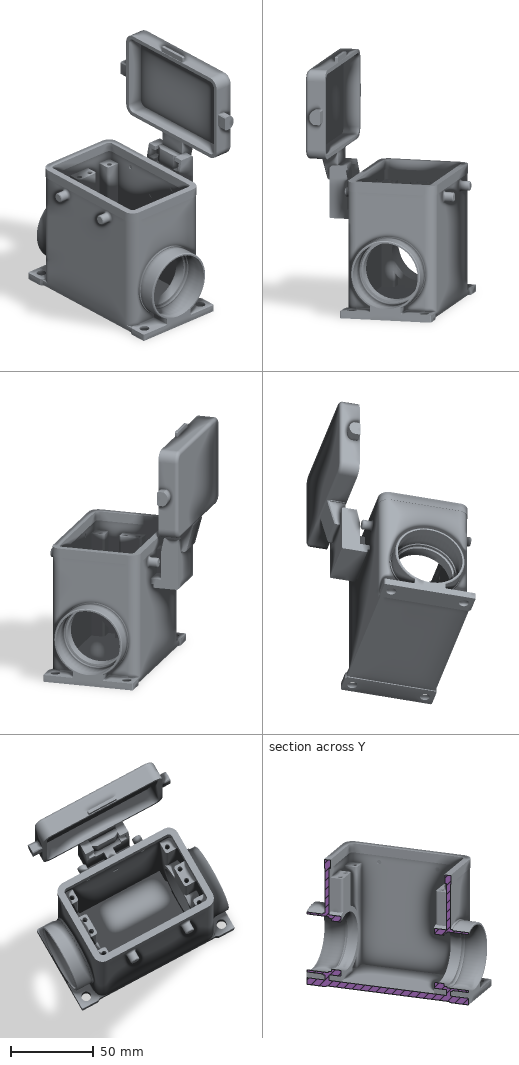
import cadquery as cq
import math

SIDES = (-1, 1)

body_length = 82.4
body_front_y = -27.7
body_back_y = 27.9
body_bottom_z = 0.6
body_top_z = 82.1
body_corner_radius = 6.1
collar_bottom_z = 76.3
collar_length = 82.7
collar_half_width = 28.0
cavity_length = 76.5
cavity_half_width = 24.8
rim_opening_length = 74.5
rim_opening_half_width = 23.9
cavity_corner_radius = 2.3
cavity_floor_z = 4.6

overall_length = 106.0
foot_width = 57.3
foot_height = 4.3
foot_inner_x = 42.0
foot_bevel_x = 40.3
base_height_z = 3.7
foot_hole_x = 47.0
foot_hole_y = 22.8
foot_hole_diameter = 6.0
foot_edge_chamfer = 0.5
foot_root_fillet = 0.6

entry_z = 27.4
entry_outer_radius = 21.7
entry_bore_radius = 18.2
socket_radius = 20.4
socket_floor_x = 38.9
seat_radius = 19.6
seat_floor_x = 37.0
entry_inner_x = 30.3
entry_lip_chamfer = 0.5
root_ring_radius = 22.4
root_ring_end_x = 42.4
pedestal_width = 19.3

post_top_z = 69.7
post_edge_fillet = 1.5
corner_post_inner_y = 16.5
middle_post_half_width = 7.2
screw_hole_x = 33.1
screw_hole_ys = (-20.0, -4.1, 4.1, 20.0)
screw_hole_diameter = 3.0
screw_hole_depth = 12.3

pin_x = 19.0
pin_z = 71.8
pin_radius = 2.9
pin_tip_y = 34.2
pin_root_fillet = 1.2
pin_tip_chamfer = 0.5
pin_dimple_diameter = 2.8
screw_dimple_diameter = 3.7
screw_dimple_z = 60.3
dimple_depth = 0.3

bracket_length = 29.7
bracket_back_y = 45.3
bracket_top_z = 86.0
bracket_bottom_z = 54.2
bracket_front_y = 34.3
bracket_top_front_y = 36.1
slope_bottom_z = 77.0
arm_top_z = 59.9
arm_step_y = 29.5
arm_step_z = 56.5
bracket_edge_chamfer = 0.5
slot_width = 18.0
slot_floor_z = 75.7
rib_width = 6.1
pocket_length = 26.0
pocket_bottom_z = 78.1
pocket_top_z = 83.6
pocket_back_y = 40.6

lid_length = 82.7
lid_bottom_z = 94.6
lid_top_z = 149.8
lid_front_y = 41.2
lid_back_y = 53.6
lid_corner_radius = 6.1
lid_back_fillet = 2.1
lid_wall = 2.5
lid_cavity_depth = 10.0
tab_length = 19.3
tab_front_y = 41.5
tab_thickness = 1.8
tab_top_z = 153.2
tab_corner_fillet = 0.6
lug_span = 95.5
lug_front_y = 42.4
lug_half_height = 4.5
lug_straight_y = 46.5
lug_tip_y = 49.3
lug_front_chamfer = 0.6
neck_front_y = 41.8
neck_root_back_y = 53.1
neck_tip_back_y = 48.4
neck_root_length = 19.3
neck_root_height = 0.6
neck_bottom_z = slope_bottom_z
neck_edge_chamfer = 0.6
knuckle_front_y = 36.8
knuckle_top_z = 85.5
knuckle_top_front_y = 37.4
knuckle_bevel_x = 3.0
knuckle_bevel_y = 1.5

lid_mid_z = (lid_bottom_z + lid_top_z) / 2


def block(x0, x1, y0, y1, z0, z1):
    """Box between two opposite corners."""
    return cq.Workplane("XY").box(x1 - x0, y1 - y0, z1 - z0, centered=False).translate((x0, y0, z0))


def slab(length, y0, y1, z0, z1):
    """Box centred on the YZ plane."""
    return block(-length / 2, length / 2, y0, y1, z0, z1)


def end_cylinder(side, x0, x1, radius):
    """Cylinder on the cable-entry axis, from x0 to x1 out from the middle at one end."""
    start = cq.Vector(side * x0, 0, entry_z)
    return cq.Workplane(cq.Solid.makeCylinder(radius, x1 - x0, start, cq.Vector(side, 0, 0)))


def wall_cylinder(x, y, z, radius, length, direction):
    """Cylinder along Y, starting at y and running toward +Y (1) or -Y (-1)."""
    return cq.Workplane(cq.Solid.makeCylinder(radius, length, cq.Vector(x, y, z), cq.Vector(0, direction, 0)))


def make_shell():
    walls = slab(body_length, body_front_y, body_back_y, body_bottom_z, collar_bottom_z)
    walls = walls.edges("|Z").fillet(body_corner_radius)
    collar = slab(collar_length, -collar_half_width, collar_half_width, collar_bottom_z, body_top_z)
    collar = collar.edges("|Z").fillet(body_corner_radius)
    return walls.union(collar)


def make_base():
    base = slab(2 * foot_inner_x, body_front_y, body_back_y, body_bottom_z, base_height_z)
    half_width = foot_width / 2
    for side in SIDES:
        outline = [
            (side * overall_length / 2, -half_width),
            (side * foot_inner_x, -half_width),
            (side * foot_bevel_x, body_front_y),
            (side * foot_bevel_x, -body_front_y),
            (side * foot_inner_x, half_width),
            (side * overall_length / 2, half_width),
        ]
        foot = cq.Workplane("XY").polyline(outline).close().extrude(foot_height)
        outer_face = ">X" if side > 0 else "<X"
        foot = foot.faces(outer_face).edges("|Z").chamfer(foot_edge_chamfer)
        base = base.union(foot)
    return base


def cove_profile(plane, corner, direction):
    """Concave fillet section filling the corner of a wall and a foot's top, opening along direction."""
    reach = direction * foot_root_fillet
    mid = 1 - math.sqrt(0.5)
    cove_top_z = foot_height + foot_root_fillet
    return (
        cq.Workplane(plane)
        .moveTo(corner - reach, foot_height - foot_root_fillet)
        .lineTo(corner + reach, foot_height - foot_root_fillet)
        .lineTo(corner + reach, foot_height)
        .threePointArc((corner + reach * mid, foot_height + foot_root_fillet * mid), (corner, cove_top_z))
        .lineTo(corner - reach, cove_top_z)
        .close()
    )


def make_foot_coves(side):
    """Fillets from a foot's top to the end wall and to both flanks of the pedestal."""
    flat_half_width = body_back_y - body_corner_radius
    coves = cove_profile("XZ", side * body_length / 2, side).extrude(flat_half_width, both=True)
    for flank in SIDES:
        cove = cove_profile("YZ", flank * pedestal_width / 2, flank)
        cove = cove.extrude(side * (overall_length - body_length) / 2)
        coves = coves.union(cove.translate((side * body_length / 2, 0, 0)))
    return coves


def make_entry(side):
    tube = end_cylinder(side, entry_inner_x, overall_length / 2, entry_outer_radius)
    tube = tube.faces(">X" if side > 0 else "<X").chamfer(entry_lip_chamfer)
    root_ring = end_cylinder(side, cavity_length / 2, root_ring_end_x, root_ring_radius)
    pedestal_ends = sorted((side * entry_inner_x, side * overall_length / 2))
    pedestal = block(*pedestal_ends, -pedestal_width / 2, pedestal_width / 2, base_height_z, entry_z)
    return tube.union(root_ring).union(pedestal)


def make_posts(side):
    inner_face = "<X" if side > 0 else ">X"
    x_range = sorted((side * entry_inner_x, side * body_length / 2))
    spans = (
        (body_front_y, -corner_post_inner_y),
        (-middle_post_half_width, middle_post_half_width),
        (corner_post_inner_y, body_back_y),
    )
    posts = cq.Workplane("XY")
    for y0, y1 in spans:
        post = block(*x_range, y0, y1, cavity_floor_z, post_top_z)
        posts = posts.union(post.faces(inner_face).edges("|Z").fillet(post_edge_fillet))
    return posts


def make_pin(x, direction):
    wall_y = abs(body_back_y if direction > 0 else body_front_y)
    tip_r = pin_radius - pin_tip_chamfer
    root_r = pin_radius + pin_root_fillet
    embed_y = wall_y - pin_root_fillet
    diagonal = pin_root_fillet * (1 - math.sqrt(0.5))
    profile = (
        cq.Workplane("XY")
        .moveTo(0, embed_y)
        .lineTo(root_r, embed_y)
        .lineTo(root_r, wall_y)
        .threePointArc((pin_radius + diagonal, wall_y + diagonal), (pin_radius, wall_y + pin_root_fillet))
        .lineTo(pin_radius, pin_tip_y - pin_tip_chamfer)
        .lineTo(tip_r, pin_tip_y)
        .lineTo(0, pin_tip_y)
        .close()
    )
    pin = profile.revolve(360, (0, 0, 0), (0, 1, 0))
    if direction < 0:
        pin = pin.mirror("XZ")
    return pin.translate((x, 0, pin_z))


def make_housing():
    housing = make_shell().union(make_base())
    for side in SIDES:
        housing = housing.union(make_entry(side)).union(make_foot_coves(side))

    cavity = slab(cavity_length, -cavity_half_width, cavity_half_width, cavity_floor_z, collar_bottom_z)
    cavity = cavity.edges("|Z").fillet(cavity_corner_radius)
    for side in SIDES:
        cavity = cavity.cut(make_entry(side)).cut(make_posts(side))
    opening_y = rim_opening_half_width
    opening = slab(rim_opening_length, -opening_y, opening_y, collar_bottom_z, body_top_z)
    housing = housing.cut(cavity).cut(opening.edges("|Z").fillet(cavity_corner_radius))

    for side in SIDES:
        bore = end_cylinder(side, 0, overall_length, entry_bore_radius)
        socket = end_cylinder(side, socket_floor_x, overall_length, socket_radius)
        seat = end_cylinder(side, seat_floor_x, overall_length, seat_radius)
        housing = housing.cut(bore).cut(seat).cut(socket)
        for end in SIDES:
            foot_hole = cq.Workplane("XY").circle(foot_hole_diameter / 2).extrude(foot_height)
            housing = housing.cut(foot_hole.translate((side * foot_hole_x, end * foot_hole_y, 0)))
            housing = housing.union(make_pin(side * pin_x, end))
            housing = housing.cut(
                wall_cylinder(
                    side * pin_x, end * cavity_half_width, pin_z, pin_dimple_diameter / 2, dimple_depth, end
                )
            )
        for y in screw_hole_ys:
            screw_hole = cq.Workplane("XY").circle(screw_hole_diameter / 2).extrude(-screw_hole_depth)
            housing = housing.cut(screw_hole.translate((side * screw_hole_x, y, post_top_z)))

    return housing.cut(
        wall_cylinder(0, cavity_half_width, screw_dimple_z, screw_dimple_diameter / 2, dimple_depth, 1)
    )


def make_bracket():
    profile = [
        (body_back_y, arm_step_z),
        (arm_step_y, arm_step_z),
        (arm_step_y, bracket_bottom_z),
        (bracket_back_y, bracket_bottom_z),
        (bracket_back_y, bracket_top_z),
        (bracket_top_front_y, bracket_top_z),
        (bracket_front_y, slope_bottom_z),
        (bracket_front_y, arm_top_z),
        (body_back_y, arm_top_z),
    ]
    bracket = cq.Workplane("YZ").polyline(profile).close().extrude(bracket_length / 2, both=True)
    bracket = bracket.faces(">Y").edges("|X").chamfer(bracket_edge_chamfer)
    rib = slab(rib_width, body_back_y, bracket_back_y, arm_top_z, slot_floor_z)
    slot = slab(slot_width, body_back_y, bracket_back_y, slot_floor_z, bracket_top_z)
    pockets = slab(pocket_length, body_back_y, pocket_back_y, pocket_bottom_z, pocket_top_z)
    return bracket.union(rib).cut(slot).cut(pockets)


def make_cover():
    cover = slab(lid_length, lid_front_y, lid_back_y, lid_bottom_z, lid_top_z)
    cover = cover.edges("|Y").fillet(lid_corner_radius)
    cover = cover.faces(">Y").edges().fillet(lid_back_fillet)
    cavity_back_y = lid_front_y + lid_cavity_depth
    cavity = slab(
        lid_length - 2 * lid_wall, lid_front_y, cavity_back_y, lid_bottom_z + lid_wall, lid_top_z - lid_wall
    )
    return cover.cut(cavity.edges("|Y").fillet(lid_corner_radius - lid_wall))


def make_lug(side):
    outline = (
        cq.Workplane("YZ")
        .moveTo(lug_front_y, lid_mid_z - lug_half_height)
        .lineTo(lug_straight_y, lid_mid_z - lug_half_height)
        .threePointArc((lug_tip_y, lid_mid_z), (lug_straight_y, lid_mid_z + lug_half_height))
        .lineTo(lug_front_y, lid_mid_z + lug_half_height)
        .close()
    )
    lug = outline.extrude(side * (lug_span - lid_length) / 2)
    lug = lug.faces("<Y").edges("|X").chamfer(lug_front_chamfer)
    return lug.translate((side * lid_length / 2, 0, 0))


def make_tab():
    tab = slab(tab_length, tab_front_y, tab_front_y + tab_thickness, lid_top_z, tab_top_z)
    return tab.faces(">Z").edges("|Y").fillet(tab_corner_fillet)


def make_neck():
    profile = [
        (neck_front_y, lid_bottom_z),
        (neck_root_back_y, lid_bottom_z),
        (neck_tip_back_y, neck_bottom_z),
        (neck_front_y, neck_bottom_z),
    ]
    neck = cq.Workplane("YZ").polyline(profile).close().extrude(slot_width / 2, both=True)
    back_middle = (0, (neck_root_back_y + neck_tip_back_y) / 2, (lid_bottom_z + neck_bottom_z) / 2)
    back_face = neck.faces(cq.selectors.NearestToPointSelector(back_middle))
    neck = back_face.edges("(not |X) or <Z").chamfer(neck_edge_chamfer)
    root_back_y = lid_back_y - lid_back_fillet
    root = slab(neck_root_length, neck_front_y, root_back_y, lid_bottom_z - neck_root_height, lid_bottom_z)
    return neck.union(root)


def make_knuckle():
    """Hinge block filling the bracket slot, with a leaning front face and bevelled front corners."""
    profile = [
        (neck_front_y, slot_floor_z),
        (knuckle_front_y, slot_floor_z),
        (knuckle_top_front_y, knuckle_top_z),
        (neck_front_y, knuckle_top_z),
    ]
    knuckle = cq.Workplane("YZ").polyline(profile).close().extrude(slot_width / 2, both=True)
    for side in SIDES:
        outer_x = side * slot_width / 2
        inner_x = side * (slot_width / 2 - knuckle_bevel_x)
        bottom_bevel = [
            (inner_x, knuckle_front_y),
            (outer_x, knuckle_front_y),
            (outer_x, knuckle_front_y + knuckle_bevel_y),
        ]
        lean = knuckle_top_front_y - knuckle_front_y
        top_bevel = [(x, y + lean) for x, y in bottom_bevel]
        bevel = (
            cq.Workplane("XY", origin=(0, 0, slot_floor_z))
            .polyline(bottom_bevel)
            .close()
            .workplane(offset=knuckle_top_z - slot_floor_z)
            .polyline(top_bevel)
            .close()
            .loft(ruled=True)
        )
        knuckle = knuckle.cut(bevel)
    return knuckle


def make_lid():
    lid = make_cover().union(make_tab()).union(make_neck()).union(make_knuckle())
    for side in SIDES:
        lid = lid.union(make_lug(side))
    return lid


housing = make_housing().solids()
bracket = make_bracket().solids()
lid = make_lid().solids()

result = cq.Compound.makeCompound([housing.val(), bracket.val(), lid.val()])